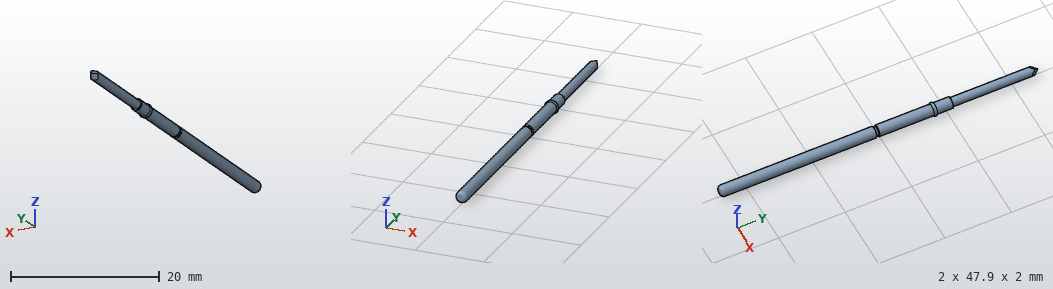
import cadquery as cq
import math

total_length = 47.9

barrel_radius = 0.85
tail_fillet = 0.5
barrel_end = 34.8

groove_center = 23.5
groove_width = 0.5
groove_depth = 0.15
groove_wall_run = 0.1

ring_radius = 1.0
ring_center = 32.17
ring_width = 0.5

plunger_radius = 0.675
facet_count = 3
facet_angle = 31.0


def make_barrel():
    """Solid body with its sloping-walled groove and rounded press ring."""
    groove_start = groove_center - groove_width / 2
    groove_end = groove_center + groove_width / 2
    groove_floor_radius = barrel_radius - groove_depth
    ring_start = ring_center - ring_width / 2
    ring_end = ring_center + ring_width / 2
    tail_flat_radius = barrel_radius - tail_fillet
    arc_offset = tail_fillet * math.sqrt(0.5)
    tail_arc_middle = (tail_flat_radius + arc_offset, tail_fillet - arc_offset)
    profile = (
        cq.Workplane("XY")
        .lineTo(tail_flat_radius, 0)
        .threePointArc(tail_arc_middle, (barrel_radius, tail_fillet))
        .lineTo(barrel_radius, groove_start)
        .lineTo(groove_floor_radius, groove_start + groove_wall_run)
        .lineTo(groove_floor_radius, groove_end - groove_wall_run)
        .lineTo(barrel_radius, groove_end)
        .lineTo(barrel_radius, ring_start)
        .threePointArc((ring_radius, ring_center), (barrel_radius, ring_end))
        .lineTo(barrel_radius, barrel_end)
        .lineTo(0, barrel_end)
        .close()
    )
    return profile.revolve(360, (0, 0, 0), (0, 1, 0))


def facet_cutter(direction):
    """Wedge whose inner face slopes through the apex, removing one facet's waste.

    It is drawn for a facet facing +X, then turned about Y to the given direction.
    """
    facet_length = plunger_radius / math.tan(math.radians(facet_angle))
    waste_outline = [
        (0, total_length),
        (plunger_radius, total_length - facet_length),
        (plunger_radius, total_length),
    ]
    return (
        cq.Workplane("XY")
        .polyline(waste_outline)
        .close()
        .extrude(plunger_radius, both=True)
        .rotate((0, 0, 0), (0, 1, 0), direction)
    )


def make_plunger():
    """Round rod ending in facets that meet at a point on the axis."""
    rod = (
        cq.Workplane("XZ", origin=(0, barrel_end, 0))
        .circle(plunger_radius)
        .extrude(barrel_end - total_length)
    )
    for index in range(facet_count):
        rod = rod.cut(facet_cutter(index * 360 / facet_count))
    return rod


result = make_barrel().union(make_plunger())